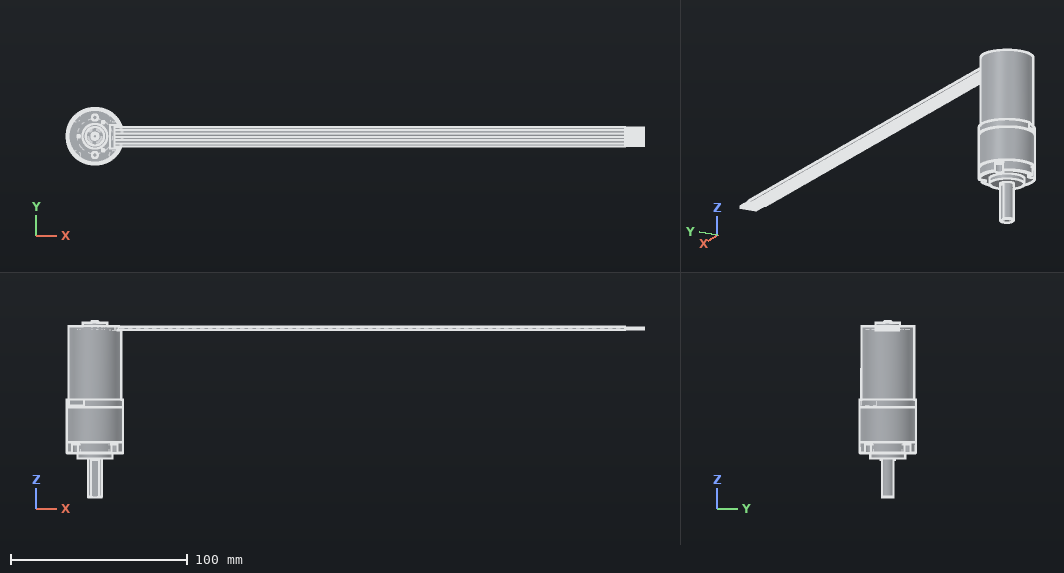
import cadquery as cq
import math

gearbox_dia = 32.0
end_plate_height = 6.3
adapter_height = 4.5
gearbox_height = 30.5
rim_chamfer = 0.5
joint_width = 0.3
joint_depth = 0.15
pilot_dia = 20.0
pilot_height = 3.0

pocket_dia = 5.0
pocket_height = 5.0
pocket_radius = 15.0
pocket_angles = (45, 135, 225, 315)

ring_flat_depth = 1.15
ring_flat_height = 3.3
ring_flat_angle = 225

shaft_dia = 8.0
shaft_length = 25.0
shaft_across_flats = 6.6
shaft_flat_length = 21.3
shaft_chamfer = 0.5

motor_dia = 30.0
motor_top = 72.0
bearing_dia = 14.0
bearing_height = 2.0
bearing_recess_dia = 10.4
bearing_recess_depth = 0.4
rear_shaft_dia = 4.0
rear_shaft_chamfer = 0.6
total_top = 75.0

end_hole_depth = 2.0
vent_hole_dia = 3.4
vent_hole_radius = 10.6
vent_hole_angles = (90, 270)
small_hole_dia = 1.4
small_hole_radius = 9.2
small_hole_angles = (60, 180, 300)

wire_count = 6
wire_dia = 2.0
wire_pitch = 1.85
core_dia = 1.0
cable_center_y = -0.3
cable_drop = 0.3
cable_start_x = 11.0
cable_strip_x = 300.0
cable_end_x = 310.6
cable_pocket_start_x = 8.6
cable_pocket_width = 13.5
cable_pocket_depth = 2.4
cable_z = motor_top - cable_drop - wire_dia / 2


def disc(diameter, bottom, top):
    return cq.Workplane("XY").workplane(offset=bottom).circle(diameter / 2).extrude(top - bottom)


def polar_holes(diameter, radius, angles, bottom, top):
    points = [
        (radius * math.cos(math.radians(a)), radius * math.sin(math.radians(a)))
        for a in angles
    ]
    return (
        cq.Workplane("XY").workplane(offset=bottom)
        .pushPoints(points).circle(diameter / 2).extrude(top - bottom)
    )


def make_gearmotor():
    body = disc(gearbox_dia, 0, gearbox_height).faces("<Z").chamfer(rim_chamfer)
    for joint_z in (end_plate_height, gearbox_height - adapter_height):
        low = joint_z - joint_width / 2
        high = joint_z + joint_width / 2
        groove_floor = disc(gearbox_dia - 2 * joint_depth, low, high)
        body = body.cut(disc(gearbox_dia, low, high).cut(groove_floor))
    body = body.cut(polar_holes(pocket_dia, pocket_radius, pocket_angles, 0, pocket_height))
    ring_flat = (
        cq.Workplane("XY")
        .box(2 * ring_flat_depth, gearbox_dia, ring_flat_height)
        .translate((gearbox_dia / 2, 0, gearbox_height - ring_flat_height / 2))
        .rotate((0, 0, 0), (0, 0, 1), ring_flat_angle)
    )
    body = body.cut(ring_flat)
    body = body.union(disc(pilot_dia, -pilot_height, 0))

    shaft = disc(shaft_dia, -shaft_length, 0).faces("<Z").chamfer(shaft_chamfer)
    flat_center_z = -shaft_length + shaft_flat_length / 2
    for side in (-1, 1):
        flat_center_y = side * (shaft_across_flats + shaft_dia) / 2
        flat = cq.Workplane("XY").box(shaft_dia, shaft_dia, shaft_flat_length)
        shaft = shaft.cut(flat.translate((0, flat_center_y, flat_center_z)))
    body = body.union(shaft)

    body = body.union(disc(motor_dia, gearbox_height, motor_top))
    bearing_top = motor_top + bearing_height
    body = body.union(disc(bearing_dia, motor_top, bearing_top))
    body = body.cut(disc(bearing_recess_dia, bearing_top - bearing_recess_depth, bearing_top))
    body = body.union(disc(rear_shaft_dia, motor_top, total_top).faces(">Z").chamfer(rear_shaft_chamfer))

    hole_floor = motor_top - end_hole_depth
    body = body.cut(polar_holes(vent_hole_dia, vent_hole_radius, vent_hole_angles, hole_floor, motor_top))
    body = body.cut(polar_holes(small_hole_dia, small_hole_radius, small_hole_angles, hole_floor, motor_top))

    pocket = cq.Workplane("XY").box(motor_dia, cable_pocket_width, cable_pocket_depth).translate(
        (cable_pocket_start_x + motor_dia / 2, cable_center_y, motor_top - cable_pocket_depth / 2))
    return body.cut(pocket)


def wire_length(diameter, y, end_x):
    """Round length of wire along X, from the motor to end_x."""
    return (
        cq.Workplane("YZ", origin=(cable_start_x, y, cable_z))
        .circle(diameter / 2).extrude(end_x - cable_start_x)
    )


def make_cable():
    first_wire_y = cable_center_y - wire_pitch * (wire_count - 1) / 2
    cable = cq.Workplane("XY")
    for i in range(wire_count):
        y = first_wire_y + i * wire_pitch
        cable = cable.union(wire_length(wire_dia, y, cable_strip_x))
        cable = cable.union(wire_length(core_dia, y, cable_end_x))
    return cable


gearmotor = make_gearmotor()
cable = make_cable()
result = cq.Compound.makeCompound([gearmotor.val(), cable.val()])